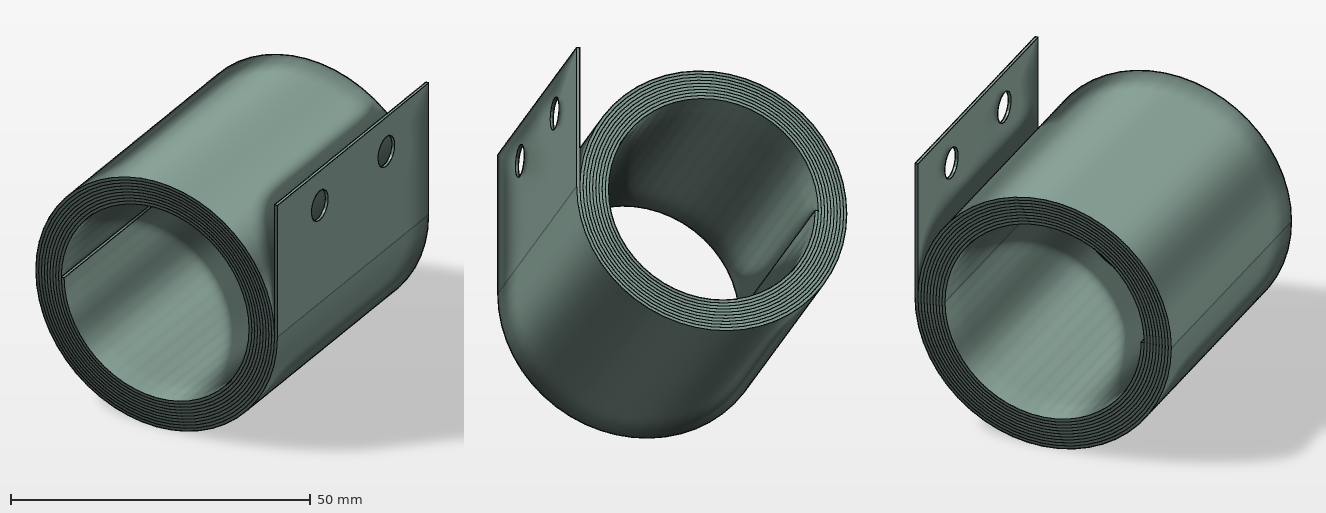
import cadquery as cq

width = 50.0
coil_radius = 23.4
pitch = 0.55
clearance = 0.005
lower_half_turns = 10
tail_height = 25.0
hole_diameter = 5.5
hole_spacing = 22.0
hole_drop = 6.5

thickness = pitch - clearance


def half_ring(center_x, outer_radius, side):
    """Half turn of strip in the XZ plane; side is +1 above or -1 below the centre."""
    inner_radius = outer_radius - thickness
    return (
        cq.Workplane("XZ", origin=(center_x, width / 2, 0))
        .moveTo(outer_radius, 0)
        .threePointArc((0, side * outer_radius), (-outer_radius, 0))
        .lineTo(-inner_radius, 0)
        .threePointArc((0, side * inner_radius), (inner_radius, 0))
        .close()
        .extrude(width)
    )


def tail():
    """Straight end of the strip, tangent to the right side of the coil."""
    plate = cq.Workplane("XY").box(thickness, width, tail_height)
    hole_height = tail_height / 2 - hole_drop
    holes = (
        cq.Workplane("YZ")
        .pushPoints([(-hole_spacing / 2, hole_height), (hole_spacing / 2, hole_height)])
        .circle(hole_diameter / 2)
        .extrude(thickness, both=True)
    )
    return plate.cut(holes).translate((coil_radius - thickness / 2, 0, tail_height / 2))


result = tail()
for turn in range(lower_half_turns):
    lower_radius = coil_radius - turn * pitch
    result = result.union(half_ring(0, lower_radius, -1))
    if turn < lower_half_turns - 1:
        result = result.union(half_ring(-pitch / 2, lower_radius - pitch / 2, 1))